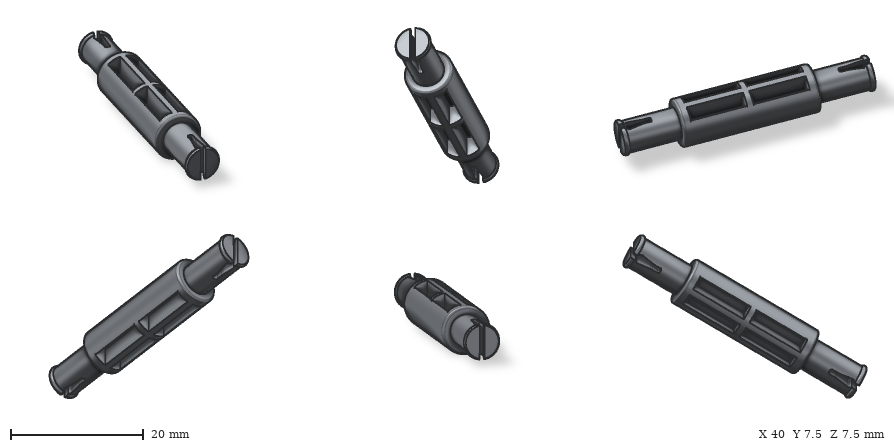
import cadquery as cq

total_length = 40.0
body_diameter = 7.5
body_length = 21.8
body_edge_radius = 0.35
shaft_diameter = 5.0

rim_diameter = 5.5
rim_face_diameter = 5.1
rim_width = 0.8
rim_crown_depth = 0.3

slot_mouth_width = 0.85
slot_mouth_length = 0.9
slot_widest_width = 1.5
slot_widest_depth = 1.25
slot_widest_radius = 0.25
slot_taper_end = 3.7
slot_taper_blend_radius = 2.4
slot_depth = 5.0
slot_end_width = slot_mouth_width
slot_end_radius = 0.25

pocket_length = 9.0
pocket_width = 2.0
rib_thickness = 1.0

tip_x = total_length / 2


def cylinder_along_x(diameter, length, start_x):
    return cq.Workplane("YZ").workplane(offset=start_x).circle(diameter / 2).extrude(length)


def make_body():
    body = cylinder_along_x(body_diameter, body_length, -body_length / 2)
    return body.edges().fillet(body_edge_radius)


def make_rim():
    """Convex rim at the -X tip: a crown falling to the tip face and to the shaft surface."""
    shaft_radius = shaft_diameter / 2
    return (
        cq.Workplane("XY")
        .moveTo(-tip_x, 0)
        .lineTo(-tip_x, rim_face_diameter / 2)
        .threePointArc(
            (-tip_x + rim_crown_depth, rim_diameter / 2),
            (-tip_x + rim_width, shaft_radius),
        )
        .lineTo(-tip_x + rim_width, 0)
        .close()
        .revolve(360, (0, 0, 0), (1, 0, 0))
    )


def make_slot_cutter():
    """Slot at the -X tip: narrow mouth, wide throat, taper and straight end."""
    upper_side = [
        (-tip_x, slot_mouth_width / 2),
        (-tip_x + slot_mouth_length, slot_mouth_width / 2),
        (-tip_x + slot_widest_depth, slot_widest_width / 2),
        (-tip_x + slot_taper_end, slot_end_width / 2),
        (-tip_x + slot_depth, slot_end_width / 2),
    ]
    lower_side = [(x, -y) for x, y in reversed(upper_side)]
    cutter = (
        cq.Workplane("XY")
        .polyline(upper_side + lower_side)
        .close()
        .extrude(rim_diameter, both=True)
    )
    cutter = cutter.faces(">X").edges("|Z").fillet(slot_end_radius)
    cutter = cutter.edges("|Z").edges("<Y or >Y").fillet(slot_widest_radius)
    blend_search_margin = 0.4
    taper_end_zone = cq.selectors.BoxSelector(
        (-tip_x + slot_taper_end - blend_search_margin, -slot_end_width, -2 * rim_diameter),
        (-tip_x + slot_taper_end + blend_search_margin, slot_end_width, 2 * rim_diameter),
    )
    return cutter.edges("|Z").edges(taper_end_zone).fillet(slot_taper_blend_radius)


def make_pocket_cutters():
    """Eight pockets: two along X, two across Y, on the top and the bottom."""
    pocket_height = body_diameter / 2
    return (
        cq.Workplane("XY")
        .rarray(pocket_length + rib_thickness, pocket_width + rib_thickness, 2, 2)
        .rect(pocket_length, pocket_width)
        .extrude(pocket_height)
        .translate((0, 0, rib_thickness / 2))
    )


shaft = cylinder_along_x(shaft_diameter, total_length, -tip_x)
rim = make_rim()
slot = make_slot_cutter()
pockets = make_pocket_cutters()

result = make_body().union(shaft)
result = result.union(rim).union(rim.mirror("YZ"))
result = result.cut(slot).cut(slot.mirror("YZ"))
result = result.cut(pockets).cut(pockets.mirror("XY"))